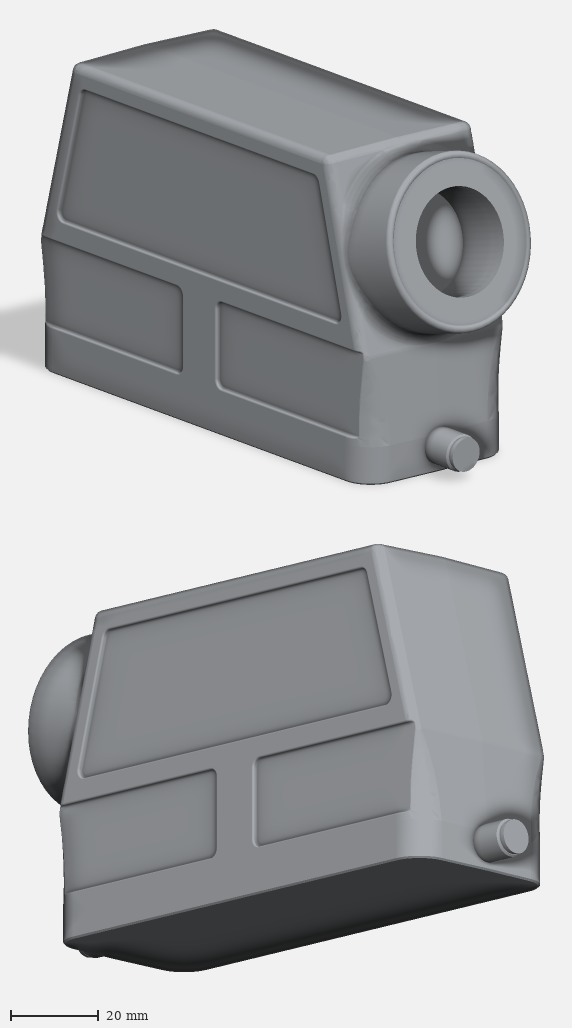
import cadquery as cq
import math

WIDTH = 43.0
ROOF_HEIGHT = 76.2
SKIRT_HEIGHT = 9.1
KINK_HEIGHT = 30.5
SKIRT_HALF_LENGTH = 60.1
KINK_HALF_LENGTH = 58.5
END_LEAN = 15.0
MOULD_DRAFT = 1.0

SKIRT_CORNER = 7.4
WAIST_HEIGHT = 21.3
WAIST_CORNER = 5.7
UPPER_CORNER = 2.3
KINK_ROUND = 4.3
BASE_CHAMFER = 0.4
ROOF_ROUND = 2.0

PANEL_DEPTH = 1.0
PANEL_ROUND = 0.4
PANEL_CORNER = 2.0
PANEL_FRAME = 5.0
UPPER_PANEL_BOTTOM = 36.7
UPPER_PANEL_TOP = 70.9
LOWER_PANEL_BOTTOM = 10.7
LOWER_PANEL_TOP = 32.3
LOWER_PANEL_GAP = 11.2

COLLAR_DIAMETER = 41.6
COLLAR_BORE = 25.5
RIM_ROUND = 1.0
FACE_RECESS = 0.3
COLLAR_FACE_X = 67.5
COLLAR_FACE_Z = 56.7
COLLAR_ROOT = 5.7
COLLAR_BLEND = 2.5

PIN_DIAMETER = 8.8
PIN_TIP_DIAMETER = 8.0
PIN_TIP_LENGTH = 0.9
PIN_NECK_DIAMETER = 7.7
PIN_NECK_LENGTH = 0.5
PIN_CHAMFER = 0.4
PIN_HALF_LENGTH = 69.5
PIN_HEIGHT = 6.3

HALF_WIDTH = WIDTH / 2
LEAN = math.tan(math.radians(END_LEAN))
DRAFT_DROP = HALF_WIDTH * math.tan(math.radians(MOULD_DRAFT))


def end_wall_x(z):
    """Half length of the leaning upper part at height z, on the middle plane."""
    return KINK_HALF_LENGTH - (z - KINK_HEIGHT) * LEAN


def hood_section(z, half_length, corner):
    """Rounded horizontal section whose ends come to a faint ridge at Y = 0."""
    side = half_length - DRAFT_DROP
    outline = [
        (half_length, 0),
        (side, HALF_WIDTH),
        (-side, HALF_WIDTH),
        (-half_length, 0),
        (-side, -HALF_WIDTH),
        (side, -HALF_WIDTH),
    ]
    wire = cq.Workplane("XY", origin=(0, 0, z)).polyline(outline).close().val()
    corners = [v for v in wire.Vertices() if abs(v.Y) > HALF_WIDTH / 2]
    return wire.fillet2D(corner, corners)


def make_shell_block():
    """Skirt, blended waist and leaning upper part, with a faintly gabled roof."""
    bottom = hood_section(0, SKIRT_HALF_LENGTH, SKIRT_CORNER)
    skirt_top = hood_section(SKIRT_HEIGHT, SKIRT_HALF_LENGTH, SKIRT_CORNER)
    waist_share = (WAIST_HEIGHT - SKIRT_HEIGHT) / (KINK_HEIGHT - SKIRT_HEIGHT)
    waist_length = SKIRT_HALF_LENGTH + waist_share * (KINK_HALF_LENGTH - SKIRT_HALF_LENGTH)
    waist = hood_section(WAIST_HEIGHT, waist_length, WAIST_CORNER)
    kink = hood_section(KINK_HEIGHT, KINK_HALF_LENGTH, UPPER_CORNER)
    top = hood_section(ROOF_HEIGHT, end_wall_x(ROOF_HEIGHT), UPPER_CORNER)

    upper = cq.Workplane(cq.Solid.makeLoft([kink, top], True))
    gable = (
        cq.Workplane("YZ")
        .moveTo(-HALF_WIDTH, 0)
        .lineTo(HALF_WIDTH, 0)
        .lineTo(HALF_WIDTH, ROOF_HEIGHT - DRAFT_DROP)
        .lineTo(0, ROOF_HEIGHT)
        .lineTo(-HALF_WIDTH, ROOF_HEIGHT - DRAFT_DROP)
        .close()
        .extrude(SKIRT_HALF_LENGTH, both=True)
    )
    upper = upper.intersect(gable)
    roof_edges = cq.selectors.BoxSelector(
        (-SKIRT_HALF_LENGTH, -WIDTH, ROOF_HEIGHT - 2 * DRAFT_DROP),
        (SKIRT_HALF_LENGTH, WIDTH, ROOF_HEIGHT + DRAFT_DROP),
    )
    ridge = cq.selectors.BoxSelector((-1.4, -0.1, ROOF_HEIGHT - 1.4), (1.4, 0.1, ROOF_HEIGHT + 1.4))
    upper = upper.edges(roof_edges - ridge).fillet(ROOF_ROUND)

    skirt = cq.Workplane(cq.Solid.makeLoft([bottom, skirt_top], True))
    blend = cq.Workplane(cq.Solid.makeLoft([skirt_top, waist, kink], False))
    block = skirt.union(blend).union(upper)
    kink_edges = cq.selectors.BoxSelector(
        (-SKIRT_HALF_LENGTH, -WIDTH, KINK_HEIGHT - 0.1),
        (SKIRT_HALF_LENGTH, WIDTH, KINK_HEIGHT + 0.1),
    )
    block = block.edges(kink_edges).fillet(KINK_ROUND)
    return block.faces("<Z").edges().chamfer(BASE_CHAMFER)


def lies_on_collar(point, length):
    """True for a point, given in collar coordinates, on the collar's root circle."""
    radius = math.hypot(point.x, point.y)
    return abs(radius - COLLAR_DIAMETER / 2) < 0.01 and point.z < -length / 2


def add_collar(hood):
    """Leaning cable collar on the +X end wall, with its blend and bore."""
    axis = cq.Vector(math.cos(math.radians(END_LEAN)), 0, math.sin(math.radians(END_LEAN)))
    face_centre = cq.Vector(COLLAR_FACE_X, 0, COLLAR_FACE_Z)
    wall_point = cq.Vector(KINK_HALF_LENGTH, 0, KINK_HEIGHT)
    length = (face_centre - wall_point).dot(axis)
    plane = cq.Plane(origin=face_centre, xDir=(0, 1, 0), normal=axis)

    radius = COLLAR_DIAMETER / 2
    face_radius = radius - RIM_ROUND - math.sqrt(RIM_ROUND**2 - (RIM_ROUND - FACE_RECESS) ** 2)
    profile_plane = cq.Plane(origin=face_centre, xDir=(0, 1, 0), normal=cq.Vector(0, 1, 0).cross(axis))
    collar = (
        cq.Workplane(profile_plane)
        .moveTo(0, -length - COLLAR_ROOT)
        .lineTo(radius, -length - COLLAR_ROOT)
        .lineTo(radius, -RIM_ROUND)
        .threePointArc((radius - RIM_ROUND, 0), (face_radius, -FACE_RECESS))
        .lineTo(0, -FACE_RECESS)
        .close()
        .revolve(360, (0, 0), (0, 1))
    )
    hood = hood.union(collar)
    joint = hood.edges("%BSPLINE").filter(
        lambda edge: lies_on_collar(plane.toLocalCoords(edge.positionAt(0.5)), length)
    )
    hood = joint.fillet(COLLAR_BLEND)
    bore = cq.Workplane(plane).circle(COLLAR_BORE / 2).extrude(-length)
    return hood.cut(bore)


def panel_cutter(points, side):
    """Recess cutter for one long wall, rounded where its walls meet the floor."""
    outline = cq.Sketch().polygon([*points, points[0]]).vertices().fillet(PANEL_CORNER)
    wall = cq.Workplane("XZ", origin=(0, side * HALF_WIDTH, 0))
    cutter = wall.placeSketch(outline).extrude(side * PANEL_DEPTH)
    floor = "<Y" if side > 0 else ">Y"
    return cutter.faces(floor).edges().fillet(PANEL_ROUND)


def upper_panel_outline():
    """Trapezium parallel to the end walls, inside the rounded rim."""
    bottom = UPPER_PANEL_BOTTOM + PANEL_ROUND
    top = UPPER_PANEL_TOP - PANEL_ROUND
    inset = (PANEL_FRAME + PANEL_ROUND) / math.cos(math.radians(END_LEAN))
    bottom_x = end_wall_x(bottom) - inset
    top_x = end_wall_x(top) - inset
    return [(-bottom_x, bottom), (bottom_x, bottom), (top_x, top), (-top_x, top)]


def lower_panel_outline(end):
    """Rectangle from the middle web out past the end wall, inside the rounded rim."""
    bottom = LOWER_PANEL_BOTTOM + PANEL_ROUND
    top = LOWER_PANEL_TOP - PANEL_ROUND
    inner = end * (LOWER_PANEL_GAP / 2 + PANEL_ROUND)
    outer = end * (SKIRT_HALF_LENGTH + 2 * PANEL_CORNER)
    return [(inner, bottom), (outer, bottom), (outer, top), (inner, top)]


def is_panel_rim(edge):
    """True for an edge in a long wall's plane that bounds a panel."""
    ends = [edge.startPoint(), edge.endPoint()]
    in_wall = all(abs(abs(p.y) - HALF_WIDTH) < 0.001 for p in ends)
    upper = all(UPPER_PANEL_BOTTOM < p.z < UPPER_PANEL_TOP for p in ends)
    lower = all(LOWER_PANEL_BOTTOM < p.z < LOWER_PANEL_TOP for p in ends)
    return in_wall and (upper or lower)


def cut_panels(hood):
    """Three sunken panels on each long wall, with rounded rims."""
    outlines = [upper_panel_outline(), lower_panel_outline(-1), lower_panel_outline(1)]
    for side in (-1, 1):
        for outline in outlines:
            hood = hood.cut(panel_cutter(outline, side))
    return hood.edges().filter(is_panel_rim).fillet(PANEL_ROUND)


def make_pin():
    """Locking pin running through both ends of the hood, with a neck behind each tip."""
    tip_back = PIN_HALF_LENGTH - PIN_TIP_LENGTH
    shank_end = tip_back - PIN_NECK_LENGTH
    across = cq.Workplane("YZ", origin=(0, 0, PIN_HEIGHT))
    shank = across.circle(PIN_DIAMETER / 2).extrude(shank_end, both=True).edges().chamfer(PIN_CHAMFER)
    neck = across.circle(PIN_NECK_DIAMETER / 2).extrude(tip_back, both=True)
    pin = shank.union(neck)
    for end in (-1, 1):
        tip = (
            across.workplane(offset=end * tip_back)
            .circle(PIN_TIP_DIAMETER / 2)
            .extrude(end * PIN_TIP_LENGTH)
        )
        pin = pin.union(tip)
    return pin


pin = make_pin()
hood = cut_panels(add_collar(make_shell_block())).cut(pin)

result = cq.Compound.makeCompound([hood.val(), pin.val()])